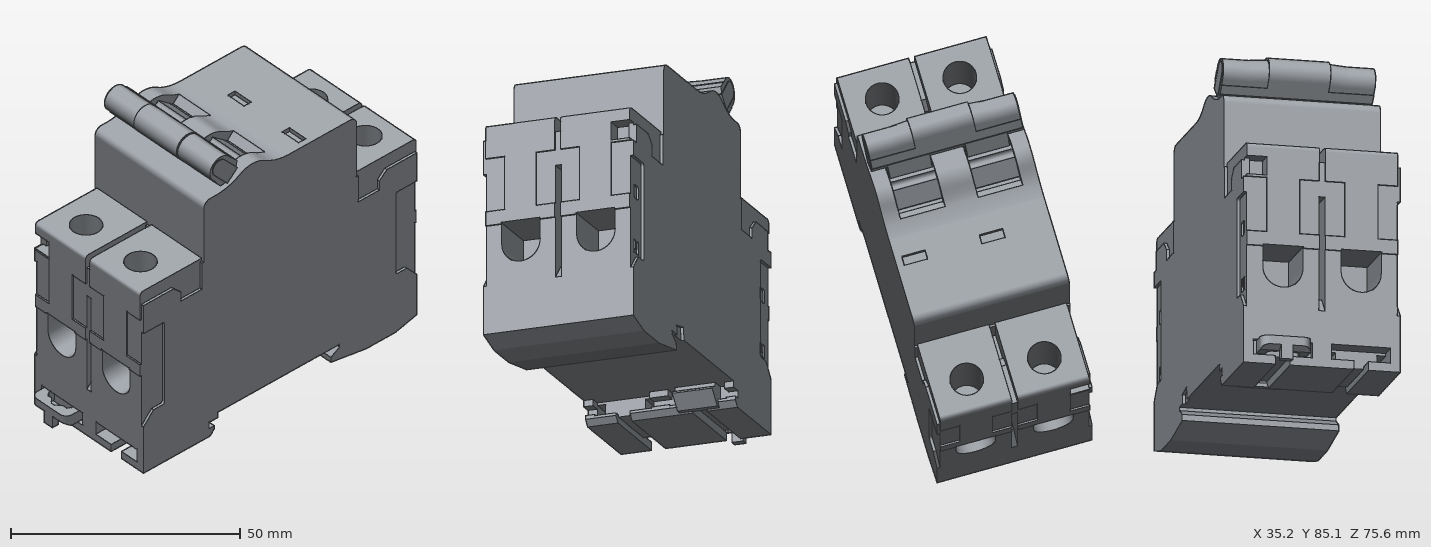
import cadquery as cq
import math


width = 35.2
half_width = width / 2
total_height = 75.6
pole_width = width / 2
pole_centers = (-pole_width / 2, pole_width / 2)

body_half_length = 40.3
crown_half_length = 22.55
crown_top = 65.6
crown_radius = 1.95
ledge_z = 46.3
ledge_inner_y = 31.5
ledge_step_y = 29.3
ledge_step_z = 44.25
cap_seat_z = 41.8
cap_seat_y = 23.1
crown_lip_z = 48.9
rail_roof = 5.4
jaw_y = -18.4
jaw_notch_y = -20.9

hump_y = -8.2
hump_foot_radius = 13.5
hump_peak_radius = 6.9
hump_angle = math.radians(32)

cap_top = 49.7
cap_half_length = 40.8
cap_inset = 0.7
cap_edge_radius = 1.0
cover_bottom = 26.55

screw_hole_diameter = 7.3
screw_hole_y = 33.2
screw_hole_depth = 17.0
wire_hole_radius = 4.5
wire_hole_top = 26.9
wire_hole_center_z = 22.0
wire_hole_depth = 12.8

window_half_width = 5.1
window_bottom = 29.8
window_top = 42.0

pocket_bottom = 42.55
pocket_top = 46.7
pocket_sill = 42.0
pocket_back_y = 38.5
pocket_deep_y = 36.8
pocket_deep_inset = 1.8

panel_depth = 0.7
panel_inner_y = 34.1
panel_top = 38.55
panel_bottom = 16.0
panel_chamfer_y = 37.4
panel_chamfer_z = 12.7
panel_corner_radius = 0.7
dimple_width = 2.55
dimple_depth = 0.4
dimple_y = 36.9
upper_dimple_z = 31.15
upper_dimple_height = 3.15
upper_dimple_radius = 0.6
lower_dimple_z = 18.5
lower_dimple_height = 2.9
dimple_peg_width = 0.8
dimple_peg_height = 1.9

label_slot_length = 5.3
label_slot_width = 2.1
label_slot_offset = 4.5
label_slot_y = 8.0
label_slot_depth = 1.0

toggle_window_width = 10.1
toggle_window_front = -15.3
toggle_floor_y = -2.9
toggle_floor_z = 64.4
toggle_slope = math.radians(45)
drum_width = 9.5

bar_tilt = 47.5
bar_y = -17.5
core_radius = 2.0
core_tail = 5.5
core_half_length = 17.3
grip_radius = 3.3
grip_half_length = 6.9
grip_tail = 4.2
grip_taper_tail = 5.1
end_grip_half_length = 17.1
end_grip_radius = 3.15
end_grip_setback = 0.7
collar_radius = 3.2
collar_setback = 0.4
collar_end_x = 11.1
skirt_top = 2.0
stalk_tail = 8.9
bar_z = total_height - grip_radius

slot_width = 13.3
slot_bottom = 1.95
stem_width = 3.3
clip_width = 9.4
left_clip_front = -39.15
right_clip_front = -35.7
right_strip_bottom = 4.8
right_tongue_bottom = 1.45
overall_length = 85.1
tab_front = cap_half_length - overall_length
tab_width = 11.2
tab_back = -38.7
tab_bottom = 2.5
tab_corner_radius = 1.95
leg_width = 2.6
leg_bottom = 0.25
leg_depth = 1.8

overlap = 0.85


def box(x0, x1, y0, y1, z0, z1):
    """Axis-aligned box between two opposite corners."""
    return cq.Workplane("XY").box(x1 - x0, y1 - y0, z1 - z0, centered=False).translate((x0, y0, z0))


def side_prism(points, x0, x1):
    """Closed (Y, Z) polygon extruded from x0 to x1."""
    return cq.Workplane("YZ", origin=(x0, 0, 0)).polyline(points).close().extrude(x1 - x0)


def both_ends(shape):
    """The shape together with its mirror image about the XZ plane."""
    return shape.union(shape.mirror("XZ"))


def hump_points():
    """Ends and mid-points of the three hump arcs, from the +Y foot to the -Y foot."""
    foot_rise = hump_foot_radius * (1 - math.cos(hump_angle))
    peak_rise = hump_peak_radius * (1 - math.cos(hump_angle))
    join_y = hump_peak_radius * math.sin(hump_angle)
    foot_y = join_y + hump_foot_radius * math.sin(hump_angle)
    mid_y = foot_y - hump_foot_radius * math.sin(hump_angle / 2)
    mid_rise = hump_foot_radius * (1 - math.cos(hump_angle / 2))
    half = [(foot_y, 0), (mid_y, mid_rise), (join_y, foot_rise)]
    peak = (0, foot_rise + peak_rise)
    full = half + [peak] + [(-y, z) for y, z in reversed(half)]
    return [(hump_y + y, crown_top + z) for y, z in full]


def make_housing():
    foot_start, foot_mid, join, peak, far_join, far_mid, far_foot = hump_points()
    corner_mid = crown_radius * (1 - math.sqrt(0.5))
    crown_edge = crown_half_length - crown_radius
    profile = (
        cq.Workplane("YZ", origin=(-half_width, 0, 0))
        .moveTo(17.5, rail_roof)
        .lineTo(17.5, 4.6)
        .lineTo(15.0, 3.1)
        .lineTo(15.0, 1.7)
        .lineTo(25.4, 0)
        .lineTo(34.0, 0)
        .lineTo(body_half_length, 1.6)
        .lineTo(body_half_length, ledge_z)
        .lineTo(ledge_inner_y, ledge_z)
        .lineTo(ledge_step_y, ledge_step_z)
        .lineTo(ledge_step_y, cap_seat_z)
        .lineTo(cap_seat_y, cap_seat_z)
        .lineTo(cap_seat_y, crown_lip_z)
        .lineTo(crown_half_length, crown_lip_z)
        .lineTo(crown_half_length, crown_top - crown_radius)
        .threePointArc((crown_half_length - corner_mid, crown_top - corner_mid), (crown_edge, crown_top))
        .lineTo(*foot_start)
        .threePointArc(foot_mid, join)
        .threePointArc(peak, far_join)
        .threePointArc(far_mid, far_foot)
        .lineTo(-crown_edge, crown_top)
        .threePointArc(
            (-crown_half_length + corner_mid, crown_top - corner_mid),
            (-crown_half_length, crown_top - crown_radius),
        )
        .lineTo(-crown_half_length, crown_lip_z)
        .lineTo(-cap_seat_y, crown_lip_z)
        .lineTo(-cap_seat_y, cap_seat_z)
        .lineTo(-ledge_step_y, cap_seat_z)
        .lineTo(-ledge_step_y, ledge_step_z)
        .lineTo(-ledge_inner_y, ledge_z)
        .lineTo(-body_half_length, ledge_z)
        .lineTo(-body_half_length, 0)
        .lineTo(-20.7, 0)
        .lineTo(-19.4, 1.4)
        .lineTo(-19.4, 2.2)
        .lineTo(jaw_notch_y, 2.2)
        .lineTo(jaw_notch_y, 3.9)
        .lineTo(jaw_y, 3.9)
        .lineTo(jaw_y, rail_roof)
        .close()
    )
    return profile.extrude(width)


def make_cap(pole_x):
    """Terminal cap with its front cover at the +Y end of one pole."""
    half_cap = pole_width / 2 - cap_inset
    inner_y = crown_half_length - overlap
    cover_back = body_half_length - overlap
    outline = [
        (inner_y, cap_seat_z),
        (cover_back, cap_seat_z),
        (cover_back, cover_bottom),
        (cap_half_length, cover_bottom),
        (cap_half_length, cap_top),
        (inner_y, cap_top),
    ]
    cap = side_prism(outline, pole_x - half_cap, pole_x + half_cap)
    return cap.faces(">Z").edges(">Y").fillet(cap_edge_radius)


def cut_terminals(pole_x):
    """Screw hole and U-shaped wire entry at the +Y end of one pole."""
    screw = (
        cq.Workplane("XY", origin=(pole_x, screw_hole_y, cap_top - screw_hole_depth))
        .circle(screw_hole_diameter / 2)
        .extrude(screw_hole_depth + overlap)
    )
    back_y = body_half_length - wire_hole_depth
    wire = (
        cq.Workplane("XZ", origin=(pole_x, cap_half_length + overlap, 0))
        .moveTo(-wire_hole_radius, wire_hole_top)
        .lineTo(-wire_hole_radius, wire_hole_center_z)
        .threePointArc((0, wire_hole_center_z - wire_hole_radius), (wire_hole_radius, wire_hole_center_z))
        .lineTo(wire_hole_radius, wire_hole_top)
        .close()
        .extrude(cap_half_length + overlap - back_y)
    )
    return screw.union(wire)


def cut_window(boundary_x):
    """Shallow window through the front covers at a pole boundary."""
    return box(
        boundary_x - window_half_width, boundary_x + window_half_width,
        body_half_length, cap_half_length + overlap,
        window_bottom, window_top,
    )


def cut_corner_pocket():
    """Pocket under the cap corner: deeper behind the side wall, lower within it."""
    outer_y = cap_half_length + overlap
    inner_x = -half_width + window_half_width
    shallow = box(-half_width - overlap, inner_x, pocket_back_y, outer_y, pocket_bottom, pocket_top)
    deep = box(-half_width + pocket_deep_inset, inner_x, pocket_deep_y, outer_y, pocket_bottom, pocket_top)
    wall_inner = -half_width + cap_inset
    sill = box(-half_width - overlap, wall_inner, pocket_back_y, outer_y, pocket_sill, pocket_top)
    return shallow.union(deep).union(sill)


def cut_panel(x0, x1):
    """Recessed panel at the +Y end, with a slanted lower corner."""
    outer_y = body_half_length + overlap
    outline = [
        (panel_inner_y, panel_top),
        (outer_y, panel_top),
        (outer_y, panel_chamfer_z - overlap),
        (panel_chamfer_y, panel_bottom),
        (panel_inner_y, panel_bottom),
    ]
    return side_prism(outline, x0, x1).edges("|X and <Y").fillet(panel_corner_radius)


def cut_dimples():
    """Two small pockets in the floor of the -X panel, the lower one holding a peg."""
    x0 = -half_width + panel_depth - overlap
    x1 = -half_width + panel_depth + dimple_depth
    y0 = dimple_y - dimple_width / 2
    y1 = dimple_y + dimple_width / 2

    def dimple(center_z, height):
        return box(x0, x1, y0, y1, center_z - height / 2, center_z + height / 2)

    upper = dimple(upper_dimple_z, upper_dimple_height).edges("|X").fillet(upper_dimple_radius)
    lower_top = lower_dimple_z + lower_dimple_height / 2
    half_peg = dimple_peg_width / 2
    peg = box(x0, x1, dimple_y - half_peg, dimple_y + half_peg, lower_top - dimple_peg_height, lower_top)
    return upper.union(dimple(lower_dimple_z, lower_dimple_height).cut(peg))


def cut_label_slot(pole_x):
    return box(
        pole_x + label_slot_offset - label_slot_length / 2,
        pole_x + label_slot_offset + label_slot_length / 2,
        label_slot_y - label_slot_width / 2,
        label_slot_y + label_slot_width / 2,
        crown_top - label_slot_depth,
        crown_top + overlap,
    )


def cut_toggle_window(pole_x):
    """Opening in the hump with a sloping back wall."""
    half = toggle_window_width / 2
    slope_run = (total_height - toggle_floor_z) / math.tan(toggle_slope)
    outline = [
        (toggle_floor_y, toggle_floor_z),
        (toggle_floor_y + slope_run, total_height),
        (toggle_window_front, total_height),
        (toggle_window_front, toggle_floor_z),
    ]
    return side_prism(outline, pole_x - half, pole_x + half)


def make_drum(pole_x):
    """Toggle drum in the window floor, with a concave groove across it."""
    return (
        cq.Workplane("YZ", origin=(pole_x - toggle_window_width / 2, 0, 0))
        .moveTo(-3.75, toggle_floor_z - overlap)
        .lineTo(-3.7, 64.85)
        .lineTo(-7.3, 67.65)
        .lineTo(-7.5, 67.3)
        .threePointArc((-8.2, 66.9), (-9.0, 67.2))
        .lineTo(-9.3, 67.7)
        .lineTo(-10.5, 67.2)
        .lineTo(-12.8, 65.5)
        .lineTo(toggle_window_front, toggle_floor_z - overlap)
        .close()
        .extrude(toggle_window_width)
    )


def bar_plane(x):
    """Section plane at x; local x runs along the bar axis, away from the drum."""
    tilt = math.radians(bar_tilt)
    return cq.Plane(origin=(x, bar_y, bar_z), xDir=(0, -math.cos(tilt), math.sin(tilt)), normal=(1, 0, 0))


def bar_profile(x, radius, tail, setback=0.0):
    """Round-nosed section of the toggle bar at x, its flat end at `tail` behind the grip axis."""
    return (
        cq.Workplane(bar_plane(x))
        .moveTo(-tail, -radius)
        .lineTo(-setback, -radius)
        .threePointArc((radius - setback, 0), (-setback, radius))
        .lineTo(-tail, radius)
        .close()
    )


def make_bar_end():
    """Collar and end grip on the +X side of the central grip."""
    end_length = end_grip_half_length - collar_end_x
    end_section = bar_profile(collar_end_x, end_grip_radius, skirt_top, end_grip_setback)
    collar_section = bar_profile(grip_half_length, collar_radius, skirt_top, collar_setback)
    collar = cq.Solid.makeLoft([collar_section.wires().val(), end_section.wires().val()], True)
    return end_section.extrude(end_length).union(cq.Workplane(collar))


def make_bar():
    core = bar_profile(-core_half_length, core_radius, core_tail).extrude(2 * core_half_length)
    grip = bar_profile(-grip_half_length, grip_radius, grip_tail).extrude(2 * grip_half_length)
    skirt_outline = [
        (-skirt_top, grip_radius),
        (-grip_tail, grip_radius),
        (-grip_taper_tail, core_radius),
        (-grip_taper_tail, -core_radius),
        (-grip_tail, -grip_radius),
        (-skirt_top, -grip_radius),
    ]
    skirt = (
        cq.Workplane(bar_plane(-end_grip_half_length))
        .polyline(skirt_outline)
        .close()
        .extrude(2 * end_grip_half_length)
    )
    bar_end = make_bar_end()
    bar = core.union(grip).union(skirt).union(bar_end).union(bar_end.mirror("YZ"))
    for pole_x in pole_centers:
        bar = bar.union(bar_profile(pole_x - drum_width / 2, core_radius, stalk_tail).extrude(drum_width))
    return bar


def cut_clip_slot(pole_x):
    """T-shaped slot from the -Y face to the rail channel."""
    front = -body_half_length - overlap
    half = slot_width / 2
    half_stem = stem_width / 2
    slot = box(pole_x - half, pole_x + half, front, jaw_y, slot_bottom, rail_roof)
    return slot.union(box(pole_x - half_stem, pole_x + half_stem, front, jaw_y, -overlap, rail_roof))


def make_hooked_clip(pole_x):
    """Clip filling its slot, with a slanted hook reaching into the rail channel."""
    hook_outline = [
        (left_clip_front, rail_roof),
        (-17.8, rail_roof),
        (-17.8, 4.5),
        (-16.1, 3.8),
        (-16.1, 3.5),
        (-19.15, 0.3),
        (-20.6, 0.3),
        (-19.4, 1.5),
        (-19.4, slot_bottom),
        (left_clip_front, slot_bottom),
    ]
    clip = side_prism(hook_outline, pole_x - clip_width / 2, pole_x + clip_width / 2)
    half = slot_width / 2
    return clip.union(box(pole_x - half, pole_x + half, left_clip_front, jaw_notch_y, slot_bottom, rail_roof))


def make_plain_clip(pole_x):
    """Clip without a hook: a block with a full-width top strip and a tongue down into the stem slot."""

    def layer(layer_width, bottom):
        half = layer_width / 2
        return box(pole_x - half, pole_x + half, right_clip_front, jaw_notch_y, bottom, rail_roof)

    strip = layer(slot_width, right_strip_bottom)
    return strip.union(layer(clip_width, slot_bottom)).union(layer(stem_width, right_tongue_bottom))


def make_pull_tab(pole_x):
    """Pull tab of the -X clip: rounded bar with a notch behind it and a leg beneath it."""
    half = tab_width / 2
    tab = box(pole_x - half, pole_x + half, tab_front, tab_back, tab_bottom, rail_roof)
    tab = tab.edges("|Z and <Y").fillet(tab_corner_radius)
    notch = (
        cq.Workplane("XY", origin=(pole_x, 0, 0))
        .polyline([
            (-3.7, left_clip_front), (-3.7, -40.85), (-3.1, -41.7), (-1.9, -41.7), (-0.5, -43.0),
            (0.5, -43.0), (1.9, -41.7), (3.1, -41.7), (3.7, -40.85), (3.7, left_clip_front),
        ])
        .close()
        .extrude(rail_roof + overlap)
    )
    bevel = side_prism(
        [(tab_front, tab_bottom), (tab_front, 3.4), (tab_front + leg_depth, tab_bottom)],
        pole_x - half, pole_x + half,
    )
    leg = box(
        pole_x - leg_width / 2, pole_x + leg_width / 2,
        tab_front, tab_front + leg_depth, leg_bottom, rail_roof - overlap,
    )
    return tab.cut(notch).cut(bevel).union(leg)


def cut_side_notch():
    """Shallow notch above the rail channel on the -X side."""
    outline = [(14.6, rail_roof), (15.0, 7.5), (11.1, 8.25), (10.6, rail_roof)]
    return side_prism(outline, -half_width, -half_width + panel_depth)


result = make_housing()
for pole_x in pole_centers:
    result = result.union(both_ends(make_cap(pole_x)))
for pole_x in pole_centers:
    result = result.cut(both_ends(cut_terminals(pole_x)))
for boundary_x in (-half_width, 0, half_width):
    result = result.cut(both_ends(cut_window(boundary_x)))
    result = result.cut(both_ends(cut_panel(boundary_x - panel_depth, boundary_x + panel_depth)))
result = result.cut(both_ends(cut_corner_pocket()))
result = result.cut(both_ends(cut_dimples()))
result = result.cut(cut_side_notch())

for pole_x in pole_centers:
    result = result.cut(cut_label_slot(pole_x)).cut(cut_toggle_window(pole_x))
    result = result.union(make_drum(pole_x))
result = result.union(make_bar())

left_pole, right_pole = pole_centers
for pole_x in pole_centers:
    result = result.cut(cut_clip_slot(pole_x))
result = result.union(make_hooked_clip(left_pole)).union(make_pull_tab(left_pole))
result = result.union(make_plain_clip(right_pole))